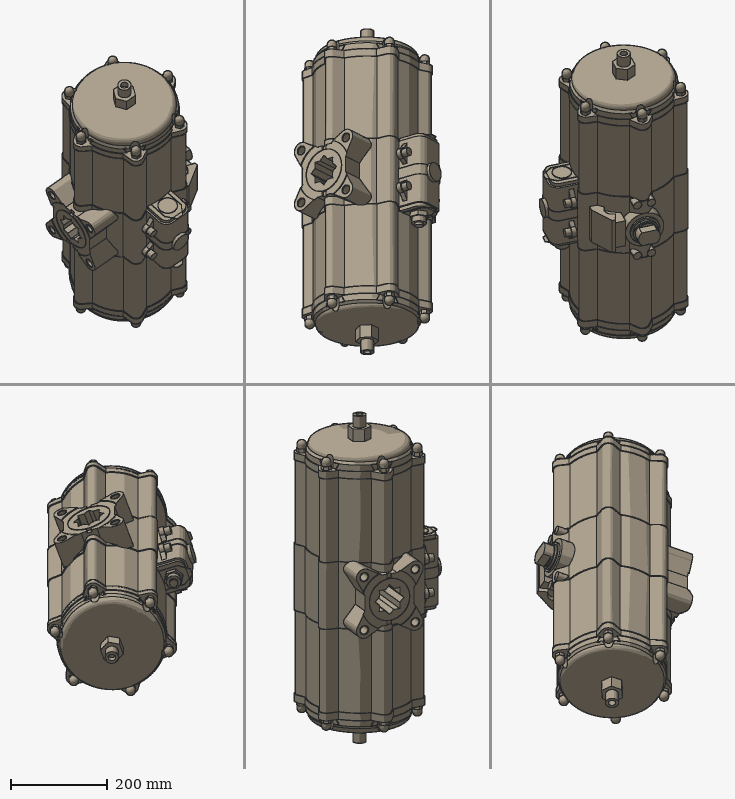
import cadquery as cq
import math

TOTAL_HEIGHT = 718.0

ROD_COUNT = 6
ROD_CIRCLE_RADIUS = 120.0
FIRST_ROD_ANGLE = 30.0
RIB_FLANK_ANGLE = 35.0
RIB_FLANK_LENGTH = 36.0
TUBE_RADIUS = 112.0
TUBE_RIB_RADIUS = 14.0
RIM_STEP = 2.0
RIM_RADIUS = TUBE_RADIUS + RIM_STEP
RIM_RIB_RADIUS = TUBE_RIB_RADIUS + RIM_STEP
MIDDLE_HALF_HEIGHT = 73.0
RIM_BOTTOM = 257.0
RIM_TOP = 273.5

SHOULDER_TOP = 287.0
COVER_RADIUS = 108.0
COVER_EDGE_HEIGHT = 293.0
COVER_ROUND = 13.0
COVER_TOP = 306.5
COVER_FLAT_RADIUS = 63.0
NUT_POCKET_RADIUS = 15.0
WEDGE_BOTTOM_HALF_WIDTH = 17.0
WEDGE_TOP_HALF_WIDTH = 24.5
WEDGE_LENGTH = 36.0

NUT_CORNER_DIAMETER = 21.0
NUT_HEX_TOP = 282.0
NUT_DOME_RADIUS = 10.0
NUT_TOP = 299.5

HEX_ACROSS_FLATS = 42.0
HEX_TURN = 30.0
HEX_TOP = 334.0
STUD_DIAMETER = 27.0
STUD_HOLE_DIAMETER = 15.0
STUD_HOLE_DEPTH = 14.5

FLANGE_FACE_Y = -148.5
FLANGE_BOLT_OFFSET = 58.0
FLANGE_EAR_RADIUS = 18.0
NECK_HALF_WIDTH = 56.0
NECK_FLAT_HALF = 17.0
EAR_TANGENT_ANGLE = 37.0
FLANGE_HOLE_DIAMETER = 17.0
FLANGE_HOLE_MOUTH_DIAMETER = 20.0
FLANGE_HOLE_DEPTH = 29.0
SPIGOT_DIAMETER = 129.0
SPIGOT_DEPTH = 2.0
KEYWAY_WIDTH = 10.0
KEYWAY_DEPTH = 4.0

BOSS_DIAMETER = 83.0
PAD_FACE_Y = 136.0
PAD_DIAMETER = 18.0
PAD_X = 15.0
PAD_Z = 65.0
PORT_WEB_HALF_HEIGHT = 32.0
PORT_PLATE_HALF_HEIGHT = 42.0
PORT_PLATE_LEFT_X = 58.0
PORT_PLATE_SHOULDER_Y = 119.0
PORT_PEAK_X = 64.5
PORT_PEAK_END_X = 72.0
PORT_PEAK_Y = 138.0
PORT_RIGHT_X = 100.5
PORT_CORNER_Y = 90.0
PORT_FOOT_Y = 77.5
PORT_RELIEF_DIAMETER = 36.0
PORT_RELIEF_Y = 100.5

SHAFT_DIAMETER = 92.0
SHAFT_SETBACK = 1.0
SHAFT_FRONT_Y = FLANGE_FACE_Y + SHAFT_SETBACK
SHAFT_SHOULDER_Y = 100.5
JOURNAL_DIAMETER = 64.0
JOURNAL_END_Y = 140.0
COLLAR_DIAMETER = 54.5
COLLAR_END_Y = 145.0
STUB_DIAMETER = 47.5
STUB_ROUND_END_Y = 148.5
STUB_ACROSS_FLATS = 34.0
STUB_END_Y = 166.5
STAR_ACROSS_FLATS = 46.0
STAR_DEPTH = 143.5
STAR_TURN = 45.0

BLOCK_BACK_X = 108.0
BLOCK_FRONT_X = 169.5
BLOCK_HALF_WIDTH = 36.5
BLOCK_CORNER = 20.0
BLOCK_PLATE_TOP = 81.0
BLOCK_PLATE_INSET = 4.0
BLOCK_BAND_LIP = 1.5
ARCH_TIP_X = 174.0
ARCH_SHOULDER_X = 151.5
ARCH_HALF_WIDTH = 23.0
ARCH_TIP_HALF_WIDTH = 7.0
ARCH_THICKNESS = 1.5
BAND_HALF_HEIGHT = 11.5
BUTTON_DIAMETER = 40.0
BUTTON_END_X = 177.0
BLOCK_AXIS_X = 135.0
CAP_DIAMETER = 40.0
CAP_HEIGHT = 3.0
LUG_START_X = 121.0
LUG_END_X = 132.0
LUG_DIAMETER = 23.0
LUG_ROOT_NEAR_Z = 19.0
LUG_ROOT_FAR_Z = 64.0
BLOCK_SCREW_DIAMETER = 17.0
BLOCK_SCREW_END_X = 145.0
BLOCK_SCREW_Y = 47.5
BLOCK_SCREW_Z = 38.0
FITTING_HEX_CORNERS = 40.0
FITTING_HEX_BOTTOM = -92.5
FITTING_DIAMETER = 30.0
FITTING_BOTTOM = -105.0
FITTING_TIP_DIAMETER = 18.0
FITTING_TIP_BOTTOM = -110.5

ROD_ANGLES = [FIRST_ROD_ANGLE + i * 360 / ROD_COUNT for i in range(ROD_COUNT)]


def cylinder_y(diameter, y_start, y_end, x=0.0, z=0.0):
    """Round bar along Y."""
    axis = cq.Vector(0, 1, 0)
    return cq.Workplane(cq.Solid.makeCylinder(diameter / 2, y_end - y_start, cq.Vector(x, y_start, z), axis))


def cylinder_x(diameter, x_start, x_end, y=0.0, z=0.0):
    """Round bar along X."""
    axis = cq.Vector(1, 0, 0)
    return cq.Workplane(cq.Solid.makeCylinder(diameter / 2, x_end - x_start, cq.Vector(x_start, y, z), axis))


def slab(z_bottom):
    """Horizontal sketch plane at a height."""
    return cq.Workplane("XY").workplane(offset=z_bottom)


def ribbed_section(tube_radius, rib_radius, z_bottom, z_top):
    """Round tube section with a tangent-sided rib around every tie rod."""
    height = z_top - z_bottom
    section = slab(z_bottom).circle(tube_radius).extrude(height)
    angle = math.radians(RIB_FLANK_ANGLE)
    tangent_x = ROD_CIRCLE_RADIUS + rib_radius * math.sin(angle)
    tangent_y = rib_radius * math.cos(angle)
    root_x = tangent_x - RIB_FLANK_LENGTH * math.cos(angle)
    root_y = tangent_y + RIB_FLANK_LENGTH * math.sin(angle)
    outline = [(root_x, -root_y), (tangent_x, -tangent_y), (tangent_x, tangent_y), (root_x, root_y)]
    rib = slab(z_bottom).polyline(outline).close().extrude(height)
    rib = rib.union(slab(z_bottom).center(ROD_CIRCLE_RADIUS, 0).circle(rib_radius).extrude(height))
    for rod_angle in ROD_ANGLES:
        section = section.union(rib.rotate((0, 0, 0), (0, 0, 1), rod_angle))
    return section


def end_cover():
    """Domed cover with a low shoulder, pocketed around every tie rod nut."""
    edge_top = COVER_EDGE_HEIGHT + COVER_ROUND
    arc_offset = COVER_ROUND * math.sqrt(0.5)
    arc_middle = (COVER_RADIUS - COVER_ROUND + arc_offset, COVER_EDGE_HEIGHT + arc_offset)
    cover = (
        cq.Workplane("XZ")
        .moveTo(0, RIM_TOP)
        .lineTo(TUBE_RADIUS, RIM_TOP)
        .lineTo(TUBE_RADIUS, SHOULDER_TOP)
        .lineTo(COVER_RADIUS, COVER_EDGE_HEIGHT)
        .threePointArc(arc_middle, (COVER_RADIUS - COVER_ROUND, edge_top))
        .lineTo(COVER_FLAT_RADIUS, COVER_TOP)
        .lineTo(0, COVER_TOP)
        .close()
        .revolve(360, (0, 0, 0), (0, 1, 0))
    )
    pocket = slab(RIM_TOP).center(ROD_CIRCLE_RADIUS, 0).circle(NUT_POCKET_RADIUS).extrude(COVER_TOP - RIM_TOP)
    wedge_outline = [
        (-WEDGE_BOTTOM_HALF_WIDTH, RIM_TOP),
        (WEDGE_BOTTOM_HALF_WIDTH, RIM_TOP),
        (WEDGE_TOP_HALF_WIDTH, SHOULDER_TOP),
        (-WEDGE_TOP_HALF_WIDTH, SHOULDER_TOP),
    ]
    wedge = cq.Workplane("YZ").workplane(offset=COVER_RADIUS)
    wedge = wedge.polyline(wedge_outline).close().extrude(WEDGE_LENGTH)
    pocket = pocket.union(wedge)
    for rod_angle in ROD_ANGLES:
        cover = cover.cut(pocket.rotate((0, 0, 0), (0, 0, 1), rod_angle))
    return cover


def domed_nut():
    """Hexagon base with a domed cap, on the rod at angle zero."""
    dome_centre = NUT_TOP - NUT_DOME_RADIUS
    base = slab(RIM_TOP).polygon(6, NUT_CORNER_DIAMETER).extrude(NUT_HEX_TOP - RIM_TOP)
    cap = slab(NUT_HEX_TOP).circle(NUT_DOME_RADIUS).extrude(dome_centre - NUT_HEX_TOP)
    dome = slab(dome_centre).sphere(NUT_DOME_RADIUS, angle1=0)
    return base.union(cap).union(dome).translate((ROD_CIRCLE_RADIUS, 0, 0))


def stop_screw():
    """Hexagon lock nut and stud in the middle of an end cover, with a centre hole in the stud."""
    stud_top = TOTAL_HEIGHT / 2
    corner_diameter = HEX_ACROSS_FLATS / math.cos(math.pi / 6)
    hexagon = slab(COVER_TOP).transformed(rotate=(0, 0, HEX_TURN))
    hexagon = hexagon.polygon(6, corner_diameter).extrude(HEX_TOP - COVER_TOP)
    stud = slab(HEX_TOP).circle(STUD_DIAMETER / 2).extrude(stud_top - HEX_TOP)
    hole = slab(stud_top).circle(STUD_HOLE_DIAMETER / 2).extrude(-STUD_HOLE_DEPTH)
    return hexagon.union(stud).cut(hole)


def cylinder_end():
    """Everything above the middle section: tube, rim, cover, nuts and stop screw."""
    end = ribbed_section(TUBE_RADIUS, TUBE_RIB_RADIUS, MIDDLE_HALF_HEIGHT, RIM_BOTTOM)
    end = end.union(ribbed_section(RIM_RADIUS, RIM_RIB_RADIUS, RIM_BOTTOM, RIM_TOP))
    end = end.union(end_cover()).union(stop_screw())
    for rod_angle in ROD_ANGLES:
        end = end.union(domed_nut().rotate((0, 0, 0), (0, 0, 1), rod_angle))
    return end


def flange_ear():
    """Rounded ear in the +X +Z corner, with straight sides running into the neck."""
    angle = math.radians(EAR_TANGENT_ANGLE)
    near = FLANGE_BOLT_OFFSET - FLANGE_EAR_RADIUS * math.sin(angle)
    far = FLANGE_BOLT_OFFSET + FLANGE_EAR_RADIUS * math.cos(angle)
    outline = [
        (0, 0),
        (0, NECK_HALF_WIDTH),
        (NECK_FLAT_HALF, NECK_HALF_WIDTH),
        (near, far),
        (far, near),
        (NECK_HALF_WIDTH, NECK_FLAT_HALF),
        (NECK_HALF_WIDTH, 0),
    ]
    ear = cq.Workplane("XZ").polyline(outline).close().extrude(-FLANGE_FACE_Y)
    return ear.union(
        cylinder_y(2 * FLANGE_EAR_RADIUS, FLANGE_FACE_Y, 0, FLANGE_BOLT_OFFSET, FLANGE_BOLT_OFFSET)
    )


def flange_bolt_hole():
    """Blind bolt hole with a chamfered mouth, in the +X +Z ear."""
    hole = cylinder_y(FLANGE_HOLE_DIAMETER, FLANGE_FACE_Y, FLANGE_FACE_Y + FLANGE_HOLE_DEPTH)
    chamfer = (FLANGE_HOLE_MOUTH_DIAMETER - FLANGE_HOLE_DIAMETER) / 2
    mouth = cq.Solid.makeCone(
        FLANGE_HOLE_MOUTH_DIAMETER / 2,
        FLANGE_HOLE_DIAMETER / 2,
        chamfer,
        cq.Vector(0, FLANGE_FACE_Y, 0),
        cq.Vector(0, 1, 0),
    )
    return hole.union(cq.Workplane(mouth)).translate((FLANGE_BOLT_OFFSET, 0, FLANGE_BOLT_OFFSET))


def add_valve_flange(body):
    """Four-eared flange with a shallow centring recess and two keyways."""
    ears = [flange_ear()]
    ears.append(ears[0].mirror("YZ"))
    ears += [ear.mirror("XY") for ear in ears]
    for ear in ears:
        body = body.union(ear)
    for x_sign in (-1, 1):
        for z_sign in (-1, 1):
            shift = ((x_sign - 1) * FLANGE_BOLT_OFFSET, 0, (z_sign - 1) * FLANGE_BOLT_OFFSET)
            body = body.cut(flange_bolt_hole().translate(shift))
    recess_floor_y = FLANGE_FACE_Y + SPIGOT_DEPTH
    body = body.cut(cylinder_y(SPIGOT_DIAMETER, FLANGE_FACE_Y, recess_floor_y))
    keyways = cq.Workplane("XY").box(KEYWAY_WIDTH, KEYWAY_DEPTH, SPIGOT_DIAMETER)
    return body.cut(keyways.translate((0, recess_floor_y + KEYWAY_DEPTH / 2, 0)))


def add_back_features(body):
    """Shaft bearing boss, four accessory pads and the port lug."""
    body = body.union(cylinder_y(BOSS_DIAMETER, 0, PAD_FACE_Y))
    for x in (-PAD_X, PAD_X):
        for z in (-PAD_Z, PAD_Z):
            body = body.union(cylinder_y(PAD_DIAMETER, 0, PAD_FACE_Y, x, z))
    return body.union(port_lug())


def port_lug():
    """Low web beside the boss and a taller plate, relieved by a round notch above and below the web."""
    web_outline = [
        (BOSS_DIAMETER / 2, PORT_FOOT_Y),
        (BOSS_DIAMETER / 2, PAD_FACE_Y),
        (PORT_PEAK_X, PAD_FACE_Y),
        (PORT_PEAK_X, PORT_FOOT_Y),
    ]
    plate_outline = [
        (PORT_PLATE_LEFT_X, PORT_FOOT_Y),
        (PORT_PLATE_LEFT_X, PORT_PLATE_SHOULDER_Y),
        (PORT_PEAK_X, PORT_PEAK_Y),
        (PORT_PEAK_END_X, PORT_PEAK_Y),
        (PORT_RIGHT_X, PORT_CORNER_Y),
        (PORT_RIGHT_X, PORT_FOOT_Y),
    ]
    web = slab(-PORT_WEB_HALF_HEIGHT).polyline(web_outline).close().extrude(2 * PORT_WEB_HALF_HEIGHT)
    plate = slab(-PORT_PLATE_HALF_HEIGHT).polyline(plate_outline).close().extrude(2 * PORT_PLATE_HALF_HEIGHT)
    notch_depth = PORT_PLATE_HALF_HEIGHT - PORT_WEB_HALF_HEIGHT
    notch = slab(PORT_WEB_HALF_HEIGHT).center(PORT_PLATE_LEFT_X, PORT_RELIEF_Y)
    notch = notch.circle(PORT_RELIEF_DIAMETER / 2).extrude(notch_depth)
    return plate.cut(notch).cut(notch.mirror("XY")).union(web)


def block_section(lip, z_bottom, z_top):
    """Block outline with two round front corners, widened (or narrowed, if negative) by a lip."""
    length = BLOCK_FRONT_X + lip - BLOCK_BACK_X
    section = slab(z_bottom).center(BLOCK_BACK_X + length / 2, 0)
    section = section.rect(length, 2 * (BLOCK_HALF_WIDTH + lip)).extrude(z_top - z_bottom)
    return section.edges("|Z and >X").fillet(BLOCK_CORNER + lip)


def block_end():
    """Inset plate and pointed arch cover on top of the block."""
    plate = block_section(-BLOCK_PLATE_INSET, MIDDLE_HALF_HEIGHT, BLOCK_PLATE_TOP)
    arch_outline = [
        (BLOCK_BACK_X, -ARCH_HALF_WIDTH),
        (ARCH_SHOULDER_X, -ARCH_HALF_WIDTH),
        (ARCH_TIP_X, -ARCH_TIP_HALF_WIDTH),
        (ARCH_TIP_X, ARCH_TIP_HALF_WIDTH),
        (ARCH_SHOULDER_X, ARCH_HALF_WIDTH),
        (BLOCK_BACK_X, ARCH_HALF_WIDTH),
    ]
    arch = slab(BLOCK_PLATE_TOP).polyline(arch_outline).close().extrude(ARCH_THICKNESS)
    return plate.union(arch)


def block_lug(y_sign, z_sign):
    """Screw lug with a tapered foot beside the block, and its screw head."""
    thickness = LUG_END_X - LUG_START_X
    foot_outline = [
        (0, LUG_ROOT_NEAR_Z),
        (BLOCK_HALF_WIDTH, LUG_ROOT_NEAR_Z),
        (BLOCK_SCREW_Y, BLOCK_SCREW_Z - LUG_DIAMETER / 2),
        (BLOCK_SCREW_Y, BLOCK_SCREW_Z + LUG_DIAMETER / 2),
        (BLOCK_HALF_WIDTH, LUG_ROOT_FAR_Z),
        (0, LUG_ROOT_FAR_Z),
    ]
    lug = cq.Workplane("YZ").workplane(offset=LUG_START_X).polyline(foot_outline).close().extrude(thickness)
    lug = lug.union(cylinder_x(LUG_DIAMETER, LUG_START_X, LUG_END_X, BLOCK_SCREW_Y, BLOCK_SCREW_Z))
    screw = cylinder_x(BLOCK_SCREW_DIAMETER, LUG_START_X, BLOCK_SCREW_END_X, BLOCK_SCREW_Y, BLOCK_SCREW_Z)
    lug = lug.union(screw)
    if y_sign < 0:
        lug = lug.mirror("XZ")
    if z_sign < 0:
        lug = lug.mirror("XY")
    return lug


def block_fitting():
    """Hexagon fitting under the block."""
    plate_bottom = -BLOCK_PLATE_TOP
    hexagon = slab(FITTING_HEX_BOTTOM).polygon(6, FITTING_HEX_CORNERS)
    hexagon = hexagon.extrude(plate_bottom - FITTING_HEX_BOTTOM)
    barrel = slab(FITTING_BOTTOM).circle(FITTING_DIAMETER / 2).extrude(plate_bottom - FITTING_BOTTOM)
    tip = slab(FITTING_TIP_BOTTOM).circle(FITTING_TIP_DIAMETER / 2).extrude(plate_bottom - FITTING_TIP_BOTTOM)
    return hexagon.union(barrel).union(tip).translate((BLOCK_AXIS_X, 0, 0))


def air_block():
    """Upright block with end plates, a middle band, screw lugs, a button, a cap and a fitting."""
    block = block_section(0, -MIDDLE_HALF_HEIGHT, MIDDLE_HALF_HEIGHT)
    block = block.union(block_end()).union(block_end().mirror("XY"))
    block = block.union(block_section(BLOCK_BAND_LIP, -BAND_HALF_HEIGHT, BAND_HALF_HEIGHT))
    block = block.union(cylinder_x(BUTTON_DIAMETER, BLOCK_AXIS_X, BUTTON_END_X))
    cap = slab(BLOCK_PLATE_TOP).center(BLOCK_AXIS_X, 0).circle(CAP_DIAMETER / 2).extrude(CAP_HEIGHT)
    block = block.union(cap).union(block_fitting())
    for y_sign in (-1, 1):
        for z_sign in (-1, 1):
            block = block.union(block_lug(y_sign, z_sign))
    return block


def make_shaft():
    """Drive shaft with a star socket at the -Y end and a two-flat stub at the +Y end."""
    shaft = cylinder_y(SHAFT_DIAMETER, SHAFT_FRONT_Y, SHAFT_SHOULDER_Y)
    shaft = shaft.union(cylinder_y(JOURNAL_DIAMETER, SHAFT_SHOULDER_Y, JOURNAL_END_Y))
    shaft = shaft.union(cylinder_y(COLLAR_DIAMETER, JOURNAL_END_Y, COLLAR_END_Y))
    shaft = shaft.union(cylinder_y(STUB_DIAMETER, COLLAR_END_Y, STUB_ROUND_END_Y))
    stub_length = STUB_END_Y - STUB_ROUND_END_Y
    flats = cq.Workplane("XY").box(STUB_DIAMETER, stub_length, STUB_ACROSS_FLATS)
    flats = flats.translate((0, STUB_ROUND_END_Y + stub_length / 2, 0))
    shaft = shaft.union(cylinder_y(STUB_DIAMETER, STUB_ROUND_END_Y, STUB_END_Y).intersect(flats))
    square = cq.Workplane("XY").box(STAR_ACROSS_FLATS, STAR_DEPTH, STAR_ACROSS_FLATS)
    square = square.translate((0, SHAFT_FRONT_Y + STAR_DEPTH / 2, 0))
    return shaft.cut(square).cut(square.rotate((0, 0, 0), (0, 1, 0), STAR_TURN))


def make_housing():
    """Actuator housing with its covers, flange and air block, bored for the shaft."""
    upper_end = cylinder_end()
    body = ribbed_section(RIM_RADIUS, RIM_RIB_RADIUS, -MIDDLE_HALF_HEIGHT, MIDDLE_HALF_HEIGHT)
    body = body.union(upper_end).union(upper_end.mirror("XY"))
    body = add_back_features(body)
    body = add_valve_flange(body)
    body = body.union(air_block())
    body = body.cut(cylinder_y(SHAFT_DIAMETER, FLANGE_FACE_Y, SHAFT_SHOULDER_Y))
    return body.cut(cylinder_y(JOURNAL_DIAMETER, SHAFT_SHOULDER_Y, PAD_FACE_Y))


housing = make_housing()
shaft = make_shaft()
result = cq.Compound.makeCompound([housing.solids().val(), shaft.solids().val()])